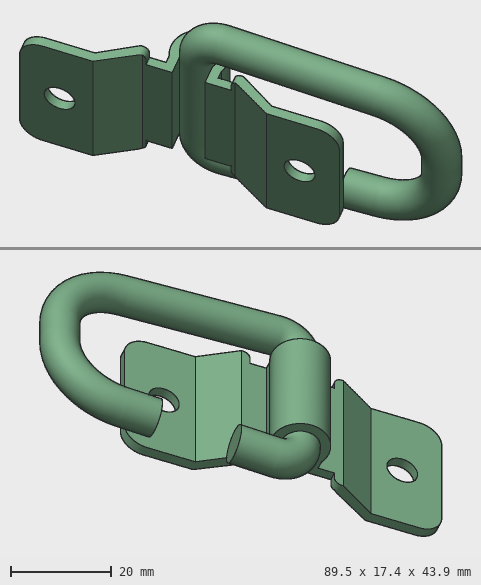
import cadquery as cq
import math

bar_radius = 4.0
ring_reach = 55.5
ring_height = 43.9
small_bend_radius = 5.0
small_bend_height = ring_height / 2 - bar_radius - small_bend_radius
large_bend_radius = 14.0
large_bend_height = 2.5
gap_start = 14.1
gap_end = 31.1

half_length = 34.0
plate_width = 31.0
neck_width = 25.0
loop_inner_radius = bar_radius
loop_outer_radius = 6.1
foot_front = -11.3
foot_back = -9.1
step_front = -6.2
step_back = -4.2
wall_inner = 3.5
wall_outer = 5.55
step_bend_front = 9.85
step_bend_back = 10.9
foot_bend_front = 18.4
foot_bend_back = 18.8
plate_start = 9.0
foot_corner_radius = 4.9
shoulder_radius = 1.5
hole_diameter = 6.5
hole_offset = 25.5
cut_depth = 53.7


def make_ring():
    """Sweep the round bar along the open ring centreline, starting at one side of the gap."""
    far_x = ring_reach - bar_radius
    large_bend_x = far_x - large_bend_radius
    small_bend_x = small_bend_radius

    run = large_bend_x - small_bend_x
    drop = small_bend_height - large_bend_height
    radius_growth = large_bend_radius - small_bend_radius
    slope = math.atan2(drop, run) - math.asin(radius_growth / math.hypot(run, drop))
    tangent_angle = math.pi / 2 - slope

    def small_bend_point(angle):
        return (
            small_bend_x + small_bend_radius * math.cos(angle),
            small_bend_height + small_bend_radius * math.sin(angle),
        )

    def large_bend_point(angle):
        return (
            large_bend_x + large_bend_radius * math.cos(angle),
            large_bend_height + large_bend_radius * math.sin(angle),
        )

    def below(point):
        return (point[0], -point[1])

    small_tangent = small_bend_point(tangent_angle)
    small_middle = small_bend_point((tangent_angle + math.pi) / 2)
    large_tangent = large_bend_point(tangent_angle)
    large_middle = large_bend_point(tangent_angle / 2)

    def lower_side_point(x):
        return (x, -small_tangent[1] + (x - small_tangent[0]) * math.tan(slope))

    start = lower_side_point(gap_start)
    centreline = (
        cq.Workplane("XZ")
        .moveTo(*start)
        .lineTo(*below(small_tangent))
        .threePointArc(below(small_middle), (0, -small_bend_height))
        .lineTo(0, small_bend_height)
        .threePointArc(small_middle, small_tangent)
        .lineTo(*large_tangent)
        .threePointArc(large_middle, (far_x, large_bend_height))
        .lineTo(far_x, -large_bend_height)
        .threePointArc(below(large_middle), below(large_tangent))
        .lineTo(*lower_side_point(gap_end))
    )
    start_plane = cq.Plane(
        origin=(start[0], 0, start[1]),
        xDir=(0, 1, 0),
        normal=(-math.cos(slope), 0, -math.sin(slope)),
    )
    return cq.Workplane(start_plane).circle(bar_radius).sweep(centreline)


def make_bent_strip():
    """Extrude the side profile of the strip to the full plate width."""
    loop_inner_end = -math.sqrt(loop_inner_radius**2 - wall_inner**2)
    loop_outer_end = -math.sqrt(loop_outer_radius**2 - wall_outer**2)
    front_points = [
        (wall_inner, step_front),
        (step_bend_front, step_front),
        (foot_bend_front, foot_front),
        (half_length, foot_front),
    ]
    back_points = [
        (half_length, foot_back),
        (foot_bend_back, foot_back),
        (step_bend_back, step_back),
        (wall_outer, step_back),
        (wall_outer, loop_outer_end),
    ]
    right_points = front_points + back_points
    left_points = [(-x, y) for x, y in reversed(right_points)]

    profile = cq.Workplane("XY").moveTo(wall_inner, loop_inner_end)
    for point in right_points:
        profile = profile.lineTo(*point)
    profile = profile.threePointArc((0, loop_outer_radius), left_points[0])
    for point in left_points[1:]:
        profile = profile.lineTo(*point)
    profile = (
        profile.lineTo(-wall_inner, loop_inner_end)
        .threePointArc((0, loop_inner_radius), (wall_inner, loop_inner_end))
        .close()
    )
    return profile.extrude(plate_width / 2, both=True)


def make_outline():
    """Block with the front outline of the bracket: two rounded plates joined by a narrower neck."""
    plate_length = half_length - plate_start
    right_plate = (
        cq.Workplane("XY")
        .box(plate_length, cut_depth, plate_width)
        .translate((plate_start + plate_length / 2, 0, 0))
        .edges("|Y and >X")
        .fillet(foot_corner_radius)
        .edges("|Y and <X")
        .fillet(shoulder_radius)
    )
    neck_length = plate_start + half_length
    neck = cq.Workplane("XY").box(neck_length, cut_depth, neck_width)
    return neck.union(right_plate).union(right_plate.mirror("YZ"))


def make_bracket():
    holes = (
        cq.Workplane("XZ")
        .pushPoints([(-hole_offset, 0), (hole_offset, 0)])
        .circle(hole_diameter / 2)
        .extrude(cut_depth / 2, both=True)
    )
    return make_bent_strip().intersect(make_outline()).cut(holes)


ring = make_ring()
bracket = make_bracket()

result = cq.Compound.makeCompound([bracket.solids().val(), ring.val()])